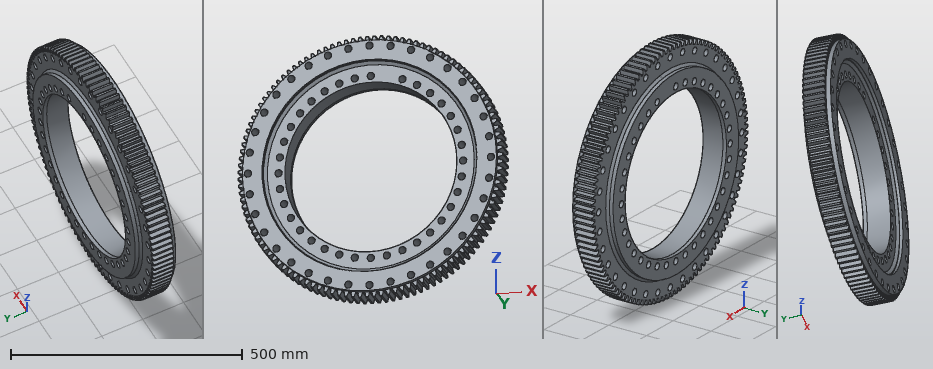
import cadquery as cq
import math

TOTAL_DEPTH = 75.0
FRONT_RECESS = 13.0
BACK_STEP = 15.0
FRONT_Y = -TOTAL_DEPTH / 2
BACK_Y = TOTAL_DEPTH / 2
INNER_FRONT_Y = FRONT_Y + FRONT_RECESS
OUTER_BACK_Y = BACK_Y - BACK_STEP

BORE_RADIUS = 191.0
INNER_RING_RADIUS = 237.0
OUTER_RING_BORE_RADIUS = 238.5
SHOULDER_RADIUS = 282.0
SHOULDER_DEPTH = 10.5

OVERALL_RADIUS = 294.5
TOOTH_COUNT = 116
TOOTH_PITCH = 2 * math.pi / TOOTH_COUNT
TOOTH_HEIGHT = 11.0
TIP_WIDTH = 4.0
MIDDLE_WIDTH = 7.5
ROOT_WIDTH = 10.5
TIP_CHAMFER = 2.0
TIP_RADIUS = OVERALL_RADIUS / math.cos(TOOTH_PITCH / 2 - TIP_WIDTH / (2 * OVERALL_RADIUS))
ROOT_RADIUS = TIP_RADIUS - TOOTH_HEIGHT
MIDDLE_RADIUS = TIP_RADIUS - TOOTH_HEIGHT / 2
TEETH_FRONT_Y = FRONT_Y + SHOULDER_DEPTH

HOLE_DIAMETER = 16.0
HOLE_STATIONS = 36
OUTER_HOLE_CIRCLE_RADIUS = 270.0
INNER_HOLE_CIRCLE_RADIUS = 205.0
UNDRILLED_STATION = 1

FRONT_SEAL_INNER_RADIUS = 229.5
FRONT_SEAL_FLAT = 2.0
FRONT_SEAL_HEIGHT = 6
BACK_SEAL_WIDTH = 6.5
BACK_SEAL_HEIGHT = 5.5

SPLIT_Y = OUTER_BACK_Y + BACK_SEAL_HEIGHT


def revolve_section(points):
    """Solid of revolution about Y from a section given as (radius, y) points."""
    return cq.Workplane("XY").polyline(points).close().revolve(360, (0, 0, 0), (0, 1, 0))


def ring(inner_radius, outer_radius, front_y, back_y):
    """Plain ring with a rectangular section."""
    return revolve_section([
        (inner_radius, front_y),
        (outer_radius, front_y),
        (outer_radius, back_y),
        (inner_radius, back_y),
    ])


def polar(radius, angle):
    """Point at an angle measured clockwise from the top, for a sketch facing -Y."""
    return radius * math.sin(angle), radius * math.cos(angle)


def bolt_holes(circle_radius, stations):
    """Through drills at the given stations of an evenly divided circle."""
    centres = [polar(circle_radius, 2 * math.pi * station / HOLE_STATIONS) for station in stations]
    plane = cq.Workplane("XZ", origin=(0, FRONT_Y, 0))
    return plane.pushPoints(centres).circle(HOLE_DIAMETER / 2).extrude(-TOTAL_DEPTH)


def gear_blank():
    """Toothed disc between the shoulder and the back face of the outer ring."""
    tip_half_angle = TIP_WIDTH / (2 * TIP_RADIUS)
    middle_half_angle = MIDDLE_WIDTH / (2 * MIDDLE_RADIUS)
    root_half_angle = ROOT_WIDTH / (2 * ROOT_RADIUS)
    outline = cq.Workplane("XZ", origin=(0, TEETH_FRONT_Y, 0))
    outline = outline.moveTo(*polar(ROOT_RADIUS, TOOTH_PITCH / 2 - root_half_angle))
    for tooth in range(TOOTH_COUNT):
        centre = (tooth + 0.5) * TOOTH_PITCH
        outline = (
            outline
            .threePointArc(
                polar(MIDDLE_RADIUS, centre - middle_half_angle),
                polar(TIP_RADIUS, centre - tip_half_angle),
            )
            .threePointArc(polar(TIP_RADIUS, centre), polar(TIP_RADIUS, centre + tip_half_angle))
            .threePointArc(
                polar(MIDDLE_RADIUS, centre + middle_half_angle),
                polar(ROOT_RADIUS, centre + root_half_angle),
            )
            .threePointArc(
                polar(ROOT_RADIUS, centre + TOOTH_PITCH / 2),
                polar(ROOT_RADIUS, centre + TOOTH_PITCH - root_half_angle),
            )
        )
    return outline.close().extrude(TEETH_FRONT_Y - OUTER_BACK_Y)


def outer_ring_envelope():
    """Turned shape of the outer ring, with the tooth tips chamfered at both ends."""
    return revolve_section([
        (OUTER_RING_BORE_RADIUS, FRONT_Y),
        (SHOULDER_RADIUS, FRONT_Y),
        (SHOULDER_RADIUS, TEETH_FRONT_Y),
        (TIP_RADIUS - TIP_CHAMFER, TEETH_FRONT_Y),
        (TIP_RADIUS, TEETH_FRONT_Y + TIP_CHAMFER),
        (TIP_RADIUS, OUTER_BACK_Y - TIP_CHAMFER),
        (TIP_RADIUS - TIP_CHAMFER, OUTER_BACK_Y),
        (OUTER_RING_BORE_RADIUS, OUTER_BACK_Y),
    ])


def make_outer_ring():
    """Externally geared ring with a full circle of bolt holes."""
    shoulder = ring(OUTER_RING_BORE_RADIUS, SHOULDER_RADIUS, FRONT_Y, OUTER_BACK_Y)
    body = gear_blank().intersect(outer_ring_envelope()).union(shoulder)
    return body.cut(bolt_holes(OUTER_HOLE_CIRCLE_RADIUS, range(HOLE_STATIONS))).solids()


def make_inner_part(front_y, back_y):
    """Part of the split inner ring, drilled through at every station but one."""
    stations = [station for station in range(HOLE_STATIONS) if station != UNDRILLED_STATION]
    body = ring(BORE_RADIUS, INNER_RING_RADIUS, front_y, back_y)
    return body.cut(bolt_holes(INNER_HOLE_CIRCLE_RADIUS, stations)).solids()


def make_front_seal():
    """Bevelled seal in the corner between the outer ring's bore and the inner ring's front face."""
    seal_front_y = INNER_FRONT_Y - FRONT_SEAL_HEIGHT
    return revolve_section([
        (FRONT_SEAL_INNER_RADIUS, INNER_FRONT_Y),
        (OUTER_RING_BORE_RADIUS - FRONT_SEAL_FLAT, seal_front_y),
        (OUTER_RING_BORE_RADIUS, seal_front_y),
        (OUTER_RING_BORE_RADIUS, INNER_FRONT_Y),
    ])


def make_back_seal():
    """Triangular seal in the corner between the inner ring's rim and the outer ring's back face."""
    return revolve_section([
        (INNER_RING_RADIUS, OUTER_BACK_Y),
        (INNER_RING_RADIUS + BACK_SEAL_WIDTH, OUTER_BACK_Y),
        (INNER_RING_RADIUS, SPLIT_Y),
    ])


outer_ring = make_outer_ring()
inner_ring = make_inner_part(INNER_FRONT_Y, SPLIT_Y)
retaining_ring = make_inner_part(SPLIT_Y, BACK_Y)
front_seal = make_front_seal()
back_seal = make_back_seal()

result = cq.Compound.makeCompound([
    outer_ring.val(),
    inner_ring.val(),
    retaining_ring.val(),
    front_seal.val(),
    back_seal.val(),
])